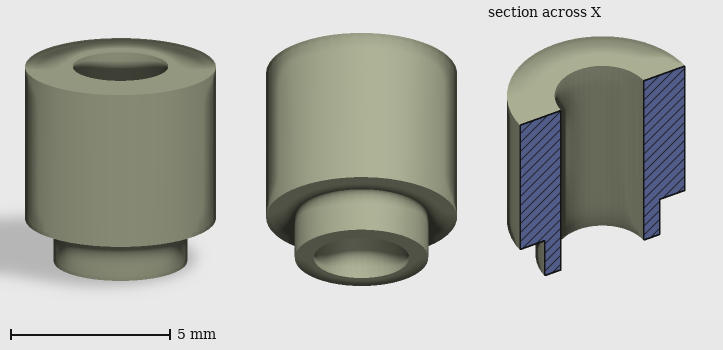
import cadquery as cq

total_height = 6.4
body_diameter = 6.0
spigot_diameter = 4.2
bore_diameter = 3.0
spigot_height = 1.4
body_height = total_height - spigot_height

spigot = cq.Workplane("XY").circle(spigot_diameter / 2).extrude(spigot_height)

bushing = spigot.faces(">Z").workplane().circle(body_diameter / 2).extrude(body_height)

bore = cq.Workplane("XY").circle(bore_diameter / 2).extrude(total_height)
result = bushing.cut(bore)